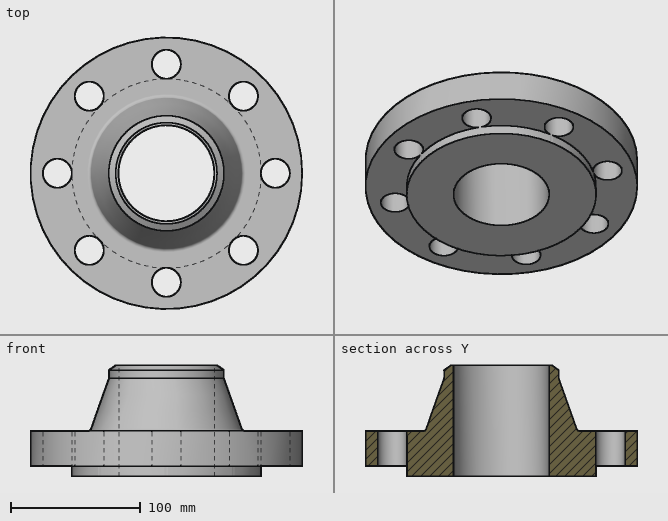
import cadquery as cq

flange_diameter = 209.5
flange_thickness = 27.0
face_diameter = 146.0
face_height = 8.0

overall_height = 85.7
hub_diameter = 117.5
hub_fillet_radius = 3.0
neck_diameter = 88.8
neck_length = 6.5
bevel_height = 3.8
land_diameter = 78.1
bore_diameter = 73.7

bolt_count = 8
bolt_circle_diameter = 168.0
bolt_hole_diameter = 22.2

plate_top = face_height + flange_thickness
bevel_start = overall_height - bevel_height
cone_top = bevel_start - neck_length

tolerance = 0.02


def make_plate():
    """Round plate standing on the raised face, which rests on Z = 0."""
    face = cq.Workplane("XY").circle(face_diameter / 2).extrude(face_height)
    plate = (
        cq.Workplane("XY")
        .workplane(offset=face_height)
        .circle(flange_diameter / 2)
        .extrude(flange_thickness)
    )
    return face.union(plate)


def make_neck():
    """Revolve the half section of the hub and neck about the Z axis."""
    return (
        cq.Workplane("XZ")
        .moveTo(0, plate_top)
        .lineTo(hub_diameter / 2, plate_top)
        .lineTo(neck_diameter / 2, cone_top)
        .lineTo(neck_diameter / 2, bevel_start)
        .lineTo(land_diameter / 2, overall_height)
        .lineTo(0, overall_height)
        .close()
        .revolve(360, (0, 0, 0), (0, 1, 0))
    )


def fillet_hub_root(body):
    """Round the corner where the cone meets the top of the plate."""
    circles = body.edges("%CIRCLE")
    plate_top_circles = circles.filter(lambda edge: abs(edge.Center().z - plate_top) < tolerance)
    hub_root = plate_top_circles.filter(lambda edge: abs(edge.radius() - hub_diameter / 2) < tolerance)
    return hub_root.fillet(hub_fillet_radius)


def make_bore():
    """Plain bore through the full height."""
    return cq.Workplane("XY").circle(bore_diameter / 2).extrude(overall_height)


def make_bolt_holes():
    """Cylinders on the bolt circle, the first one on the +X axis."""
    return (
        cq.Workplane("XY")
        .polarArray(bolt_circle_diameter / 2, 0, 360, bolt_count)
        .circle(bolt_hole_diameter / 2)
        .extrude(plate_top)
    )


blank = fillet_hub_root(make_plate().union(make_neck()))
result = blank.cut(make_bore()).cut(make_bolt_holes())